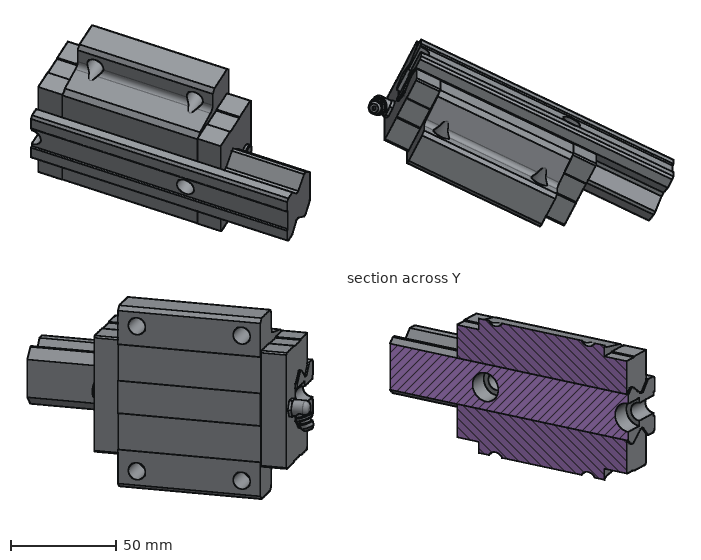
import cadquery as cq
import math


RAIL_LENGTH = 133.8
RAIL_HEIGHT = 26.0
RAIL_HALF_WIDTH = 14.1
RAIL_TOP_HALF_WIDTH = 9.4
RAIL_WAIST_HALF_WIDTH = 9.0
RAIL_FOOT_CHAMFER = 1.3
FOOT_TOP_Y = 5.9
WAIST_LOW_Y = 10.5
WAIST_HIGH_Y = 12.5
HEAD_LOW_Y = 19.2
HEAD_HIGH_Y = 21.0
RELIEF_HALF_WIDTH = 5.9
RELIEF_DEPTH = 0.9
RELIEF_FLARE = 0.5

RAIL_HOLE_PITCH = 80.0
RAIL_HOLE_X = 0.3
RAIL_HOLE_DIAMETER = 9.0
COUNTERBORE_DIAMETER = 14.1
COUNTERBORE_FLOOR_Y = 13.7

BLOCK_START_X = 13.4
BLOCK_LENGTH = 70.6
BLOCK_BOTTOM_Y = 6.6
BLOCK_TOP_Y = 42.0
FLANGE_WIDTH = 90.0
FLANGE_BOTTOM_Y = 23.8
FLANGE_CHAMFER = 2.0
SKIRT_HALF_WIDTH = 30.3
SKIRT_SLOPE = 10.0
SKIRT_CHAMFER_WIDTH = 2.2
SKIRT_CHAMFER_HEIGHT = 2.7
SKIRT_FILLET = 3.0
TOP_RECESS_INNER_Z = 8.1
TOP_RECESS_OUTER_Z = 26.1
TOP_RECESS_DEPTH = 0.5

FLANGE_HOLE_DIAMETER = 8.4
FLANGE_HOLE_PITCH_X = 52.0
FLANGE_HOLE_PITCH_Z = 72.0
FLANGE_HOLE_MID_X = 48.6

FRONT_CAP_LENGTH = 12.5
BACK_CAP_LENGTH = 12.1
CAP_HALF_WIDTH = 28.9
CAP_BOTTOM_Y = 6.4
CAP_TOP_Y = 40.9
CAP_CHAMFER = 0.9
CAP_GROOVE_LOW_Y = 17.0
CAP_GROOVE_HIGH_Y = 28.0
CAP_GROOVE_DEPTH = 0.5
CAP_GROOVE_FLARE = 0.5

PORT_Y = 34.0
HEX_SIDES = 6
HEX_ACROSS_FLATS = 8.0
HEX_LENGTH = 1.6
ELBOW_DIAMETER = 8.0
ELBOW_END_X = -8.7
ELBOW_END_FILLET = 2.6
SPOUT_PIVOT_X = -4.3
SPOUT_TILT = 20.0
SHANK_DIAMETER = 7.2
COLLAR_DIAMETER = 8.4
COLLAR_START = 3.3
COLLAR_END = 5.3
COLLAR_CHAMFER = 0.5
NECK_DIAMETER = 5.5
NECK_END = 7.0
HEAD_DIAMETER = 6.6
HEAD_START = 7.4
HEAD_TAPER_END = 9.4
HEAD_TAPER_DIAMETER = 6.4
HEAD_END = 10.8
HEAD_TIP_DIAMETER = 4.3
TIP_HOLE_DIAMETER = 1.7
TIP_HOLE_DEPTH = 1.5
PLUG_DIAMETER = 8.0
PLUG_LENGTH = 1.9
PLUG_CHAMFER = 0.5

FRONT_FACE_X = BLOCK_START_X - FRONT_CAP_LENGTH
BLOCK_END_X = BLOCK_START_X + BLOCK_LENGTH
BACK_FACE_X = BLOCK_END_X + BACK_CAP_LENGTH


def symmetric_prism(half_outline, start_x, length):
    """Extrude along X an outline given by its (y, z) points on the +Z side."""
    mirrored = [(y, -z) for y, z in reversed(half_outline)]
    return (
        cq.Workplane("YZ", origin=(start_x, 0, 0))
        .polyline(half_outline + mirrored)
        .close()
        .extrude(length)
    )


def cylinder_y(diameter, x, z, low_y, high_y):
    """Upright cylinder along Y."""
    axis = cq.Vector(0, 1, 0)
    return cq.Workplane(obj=cq.Solid.makeCylinder(diameter / 2, high_y - low_y, cq.Vector(x, low_y, z), axis))


def rail_bar():
    half_outline = [
        (RELIEF_DEPTH, RELIEF_HALF_WIDTH),
        (0, RELIEF_HALF_WIDTH + RELIEF_FLARE),
        (0, RAIL_HALF_WIDTH - RAIL_FOOT_CHAMFER),
        (RAIL_FOOT_CHAMFER, RAIL_HALF_WIDTH),
        (FOOT_TOP_Y, RAIL_HALF_WIDTH),
        (WAIST_LOW_Y, RAIL_WAIST_HALF_WIDTH),
        (WAIST_HIGH_Y, RAIL_WAIST_HALF_WIDTH),
        (HEAD_LOW_Y, RAIL_HALF_WIDTH),
        (HEAD_HIGH_Y, RAIL_HALF_WIDTH),
        (RAIL_HEIGHT, RAIL_TOP_HALF_WIDTH),
    ]
    return symmetric_prism(half_outline, 0, RAIL_LENGTH)


def make_rail():
    rail = rail_bar()
    for x in (RAIL_HOLE_X, RAIL_HOLE_X + RAIL_HOLE_PITCH):
        rail = rail.cut(cylinder_y(RAIL_HOLE_DIAMETER, x, 0, 0, RAIL_HEIGHT))
        rail = rail.cut(cylinder_y(COUNTERBORE_DIAMETER, x, 0, COUNTERBORE_FLOOR_Y, RAIL_HEIGHT))
    return rail


def make_block():
    chamfer_top_y = BLOCK_BOTTOM_Y + SKIRT_CHAMFER_HEIGHT
    slope_run = (FLANGE_BOTTOM_Y - chamfer_top_y) * math.tan(math.radians(SKIRT_SLOPE))
    skirt_root_z = SKIRT_HALF_WIDTH + slope_run
    flange_half_width = FLANGE_WIDTH / 2
    recess_floor_y = BLOCK_TOP_Y - TOP_RECESS_DEPTH
    half_outline = [
        (BLOCK_BOTTOM_Y, SKIRT_HALF_WIDTH - SKIRT_CHAMFER_WIDTH),
        (chamfer_top_y, SKIRT_HALF_WIDTH),
        (FLANGE_BOTTOM_Y, skirt_root_z),
        (FLANGE_BOTTOM_Y, flange_half_width - FLANGE_CHAMFER),
        (FLANGE_BOTTOM_Y + FLANGE_CHAMFER, flange_half_width),
        (BLOCK_TOP_Y - FLANGE_CHAMFER, flange_half_width),
        (BLOCK_TOP_Y, flange_half_width - FLANGE_CHAMFER),
        (BLOCK_TOP_Y, TOP_RECESS_OUTER_Z),
        (recess_floor_y, TOP_RECESS_OUTER_Z),
        (recess_floor_y, TOP_RECESS_INNER_Z),
        (BLOCK_TOP_Y, TOP_RECESS_INNER_Z),
    ]
    block = symmetric_prism(half_outline, BLOCK_START_X, BLOCK_LENGTH)
    mid_x = BLOCK_START_X + BLOCK_LENGTH / 2
    for side in (1, -1):
        root_edge = cq.selectors.NearestToPointSelector((mid_x, FLANGE_BOTTOM_Y, side * skirt_root_z))
        block = block.edges(root_edge).fillet(SKIRT_FILLET)
    for x_side in (1, -1):
        for z_side in (1, -1):
            x = FLANGE_HOLE_MID_X + x_side * FLANGE_HOLE_PITCH_X / 2
            z = z_side * FLANGE_HOLE_PITCH_Z / 2
            block = block.cut(cylinder_y(FLANGE_HOLE_DIAMETER, x, z, 0, BLOCK_TOP_Y))
    return block


def make_cap(start_x, length):
    groove_z = CAP_HALF_WIDTH - CAP_GROOVE_DEPTH
    half_outline = [
        (CAP_BOTTOM_Y, CAP_HALF_WIDTH),
        (CAP_GROOVE_LOW_Y, CAP_HALF_WIDTH),
        (CAP_GROOVE_LOW_Y + CAP_GROOVE_FLARE, groove_z),
        (CAP_GROOVE_HIGH_Y - CAP_GROOVE_FLARE, groove_z),
        (CAP_GROOVE_HIGH_Y, CAP_HALF_WIDTH),
        (CAP_TOP_Y - CAP_CHAMFER, CAP_HALF_WIDTH),
        (CAP_TOP_Y, CAP_HALF_WIDTH - CAP_CHAMFER),
    ]
    cap = symmetric_prism(half_outline, start_x, length)
    lower_edge = cq.selectors.NearestToPointSelector((start_x + length / 2, CAP_BOTTOM_Y, -CAP_HALF_WIDTH))
    return cap.edges(lower_edge).chamfer(CAP_CHAMFER)


def make_nipple():
    hex_across_corners = HEX_ACROSS_FLATS / math.cos(math.pi / HEX_SIDES)
    base = cq.Workplane("YZ", origin=(FRONT_FACE_X, PORT_Y, 0))
    hexagon = base.polygon(HEX_SIDES, hex_across_corners).extrude(-HEX_LENGTH)
    elbow = base.circle(ELBOW_DIAMETER / 2).extrude(ELBOW_END_X - FRONT_FACE_X)
    elbow = elbow.faces("<X").edges().fillet(ELBOW_END_FILLET)

    spout_outline = [
        (0, 0),
        (SHANK_DIAMETER / 2, 0),
        (SHANK_DIAMETER / 2, COLLAR_START),
        (COLLAR_DIAMETER / 2, COLLAR_START + COLLAR_CHAMFER),
        (COLLAR_DIAMETER / 2, COLLAR_END - COLLAR_CHAMFER),
        (COLLAR_DIAMETER / 2 - COLLAR_CHAMFER, COLLAR_END),
        (NECK_DIAMETER / 2, COLLAR_END),
        (NECK_DIAMETER / 2, NECK_END),
        (HEAD_DIAMETER / 2, HEAD_START),
        (HEAD_TAPER_DIAMETER / 2, HEAD_TAPER_END),
        (HEAD_TIP_DIAMETER / 2, HEAD_END),
        (TIP_HOLE_DIAMETER / 2, HEAD_END),
        (TIP_HOLE_DIAMETER / 2, HEAD_END - TIP_HOLE_DEPTH),
        (0, HEAD_END - TIP_HOLE_DEPTH),
    ]
    tilt = math.radians(SPOUT_TILT)
    spout_plane = cq.Plane(
        origin=(SPOUT_PIVOT_X, PORT_Y, 0),
        xDir=(math.cos(tilt), 0, -math.sin(tilt)),
        normal=(0, 1, 0),
    )
    spout = cq.Workplane(spout_plane).polyline(spout_outline).close().revolve(360, (0, 0), (0, 1))
    return hexagon.union(elbow).union(spout)


def make_plug():
    plug = cq.Workplane("YZ", origin=(BACK_FACE_X, PORT_Y, 0)).circle(PLUG_DIAMETER / 2).extrude(PLUG_LENGTH)
    return plug.faces(">X").edges().chamfer(PLUG_CHAMFER)


def make_carriage():
    caps = make_cap(FRONT_FACE_X, FRONT_CAP_LENGTH).union(make_cap(BLOCK_END_X, BACK_CAP_LENGTH))
    carriage = make_block().union(caps).cut(rail_bar())
    return carriage.union(make_nipple()).union(make_plug())


rail = make_rail()
carriage = make_carriage()
result = cq.Compound.makeCompound([rail.solids().val(), carriage.solids().val()])